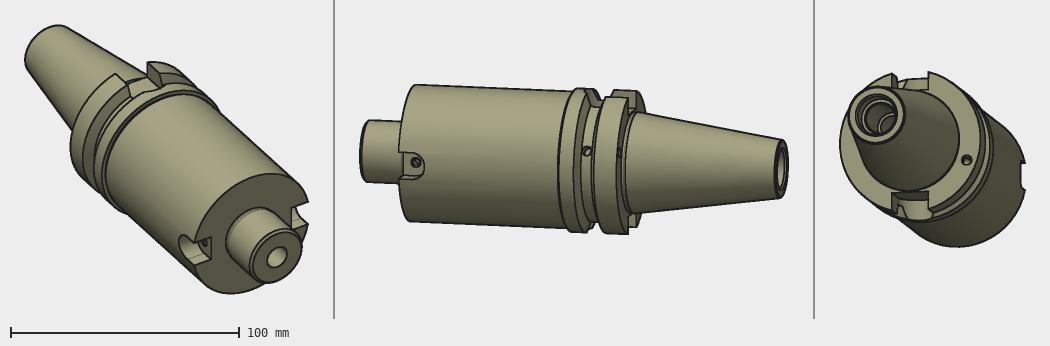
import cadquery as cq

LENGTH = 186.4
TAPER_END = 65.2
FLANGE_START = 67.1
FLANGE_EDGE = 77.2
GROOVE_START = 79.4
GROOVE_END = 84.0
COLLAR_START = 86.3
COLLAR_END = 92.8
BODY_END = 165.2
NECK_END = 166.0
PILOT_START = 167.5

GAUGE_D = 44.5
FLANGE_D = 63.0
GROOVE_D = 53.7
BODY_D = 60.0
PILOT_D = 27.2
NECK_D = 26.3
TAPER_RATIO = 7 / 24
TAPER_RELIEF = 0.2
TAPER_CHAMFER = 0.5
PILOT_CHAMFER = 1.1
COLLAR_CHAMFER = 1.0
UNDERCUT_DEPTH = 0.4

MOUTH_D = 18.6
ENTRY_D = 17.0
ENTRY_DEPTH = 8.0
THREAD_MOUTH_D = 14.0
THREAD_D = 13.0
THREAD_DEPTH = 31.7
BORE_D = 10.3

KEY_WIDTH = 16.4
KEY_END = 88.4
KEY_FLOOR = 22.5

SLOT_WIDTH = 12.0
SLOT_CENTER_X = 159.4
SLOT_FLOOR = 20.7
SCREW_D = 3.0
SCREW_MOUTH_D = 4.3
SCREW_DEPTH = 5.5

COOLANT_D = 4.3
COOLANT_Y = 25.4
COOLANT_Z = 9.3
COOLANT_OUTLET_D = 4.1
COOLANT_MEET_R = 23.3
COOLANT_INNER_R = 21.5


def revolve_x(points):
    """Revolve a closed (x, radius) outline about the X axis."""
    return cq.Workplane("XY").polyline(points).close().revolve(360, (0, 0, 0), (1, 0, 0))


def rod(start, direction, diameter, length):
    return cq.Solid.makeCylinder(diameter / 2, length, start, direction)


def make_body():
    small_r = (GAUGE_D - TAPER_RATIO * TAPER_END) / 2
    relief_r = GAUGE_D / 2 - TAPER_RELIEF
    relief_start = (TAPER_END + FLANGE_START) / 2
    return revolve_x([
        (0, 0),
        (0, small_r - TAPER_CHAMFER),
        (TAPER_CHAMFER, small_r + TAPER_CHAMFER * TAPER_RATIO / 2),
        (TAPER_END, GAUGE_D / 2),
        (relief_start, relief_r),
        (FLANGE_START, relief_r),
        (FLANGE_START, FLANGE_D / 2),
        (FLANGE_EDGE, FLANGE_D / 2),
        (GROOVE_START, GROOVE_D / 2),
        (GROOVE_END, GROOVE_D / 2),
        (COLLAR_START, FLANGE_D / 2),
        (COLLAR_END, FLANGE_D / 2),
        (COLLAR_END, BODY_D / 2 - UNDERCUT_DEPTH),
        (COLLAR_END + COLLAR_CHAMFER, BODY_D / 2),
        (BODY_END, BODY_D / 2),
        (BODY_END, NECK_D / 2),
        (NECK_END, NECK_D / 2),
        (PILOT_START, PILOT_D / 2),
        (LENGTH - PILOT_CHAMFER, PILOT_D / 2),
        (LENGTH, PILOT_D / 2 - PILOT_CHAMFER),
        (LENGTH, 0),
    ])


def make_bore():
    mouth_depth = (MOUTH_D - ENTRY_D) / 2
    thread_mouth_depth = (THREAD_MOUTH_D - THREAD_D) / 2
    return revolve_x([
        (0, 0),
        (0, MOUTH_D / 2),
        (mouth_depth, ENTRY_D / 2),
        (ENTRY_DEPTH, ENTRY_D / 2),
        (ENTRY_DEPTH, THREAD_MOUTH_D / 2),
        (ENTRY_DEPTH + thread_mouth_depth, THREAD_D / 2),
        (THREAD_DEPTH, THREAD_D / 2),
        (THREAD_DEPTH, BORE_D / 2),
        (LENGTH, BORE_D / 2),
        (LENGTH, 0),
    ])


def make_keyway():
    """Round-ended keyway on the +Z side, open toward the taper."""
    radius = KEY_WIDTH / 2
    arc_center_x = KEY_END - radius
    return (
        cq.Workplane("XY", origin=(0, 0, KEY_FLOOR))
        .moveTo(FLANGE_START, -radius)
        .lineTo(arc_center_x, -radius)
        .threePointArc((KEY_END, 0), (arc_center_x, radius))
        .lineTo(FLANGE_START, radius)
        .close()
        .extrude(FLANGE_D / 2)
    )


def make_drive_slot():
    """Round-ended slot with its screw hole on the -Y side, open toward the pilot."""
    radius = SLOT_WIDTH / 2
    slot = (
        cq.Workplane("XZ", origin=(0, -SLOT_FLOOR, 0))
        .moveTo(BODY_END, -radius)
        .lineTo(SLOT_CENTER_X, -radius)
        .threePointArc((SLOT_CENTER_X - radius, 0), (SLOT_CENTER_X, radius))
        .lineTo(BODY_END, radius)
        .close()
        .extrude(BODY_D / 2)
    )
    floor_center = cq.Vector(SLOT_CENTER_X, -SLOT_FLOOR, 0)
    inward = cq.Vector(0, 1, 0)
    tip_height = SCREW_D / 2
    hole = rod(floor_center, inward, SCREW_D, SCREW_DEPTH)
    tip = cq.Solid.makeCone(SCREW_D / 2, 0, tip_height, floor_center + inward * SCREW_DEPTH, inward)
    countersink_depth = (SCREW_MOUTH_D - SCREW_D) / 2
    countersink = cq.Solid.makeCone(
        SCREW_MOUTH_D / 2, SCREW_D / 2, countersink_depth, floor_center, inward
    )
    return slot.union(hole).union(tip).union(countersink)


def make_coolant_passage():
    """Sloping passage from the flange face to a radial outlet in the groove, on the +Y side."""
    outward = cq.Vector(0, COOLANT_Y, COOLANT_Z).normalized()
    groove_center = cq.Vector((GROOVE_START + GROOVE_END) / 2, 0, 0)
    inlet = cq.Vector(FLANGE_START, COOLANT_Y, COOLANT_Z)
    slope = groove_center + outward * COOLANT_MEET_R - inlet
    overshoot = COOLANT_D
    start = inlet - slope.normalized() * overshoot
    sloping = rod(start, slope, COOLANT_D, slope.Length + overshoot)
    outlet_length = FLANGE_D / 2 - COOLANT_INNER_R
    outlet = rod(groove_center + outward * COOLANT_INNER_R, outward, COOLANT_OUTLET_D, outlet_length)
    return cq.Workplane(sloping).union(cq.Workplane(outlet))


result = make_body().cut(make_bore())
for cutter in (make_keyway(), make_drive_slot(), make_coolant_passage()):
    opposite = cutter.rotate((0, 0, 0), (1, 0, 0), 180)
    result = result.cut(cutter).cut(opposite)